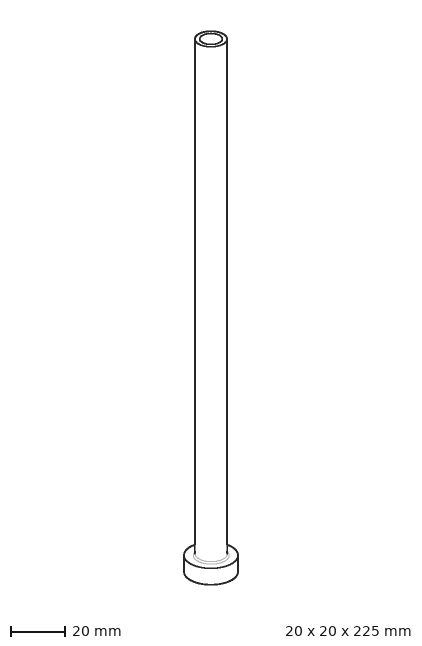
import cadquery as cq

total_length = 225.0
head_diameter = 20.0
head_height = 7.0
tube_diameter = 12.0
bore_diameter = 8.3
neck_fillet = 0.7

head = cq.Workplane("XY").circle(head_diameter / 2).extrude(head_height)
tube = cq.Workplane("XY").circle(tube_diameter / 2).extrude(total_length)
sleeve = head.union(tube)

neck_reach = tube_diameter / 2 + neck_fillet
neck_selector = cq.selectors.BoxSelector(
    (-neck_reach, -neck_reach, head_height - neck_fillet),
    (neck_reach, neck_reach, head_height + neck_fillet),
    boundingbox=True,
)
sleeve = sleeve.edges(neck_selector).fillet(neck_fillet)

bore = cq.Workplane("XY").circle(bore_diameter / 2).extrude(total_length)
result = sleeve.cut(bore)